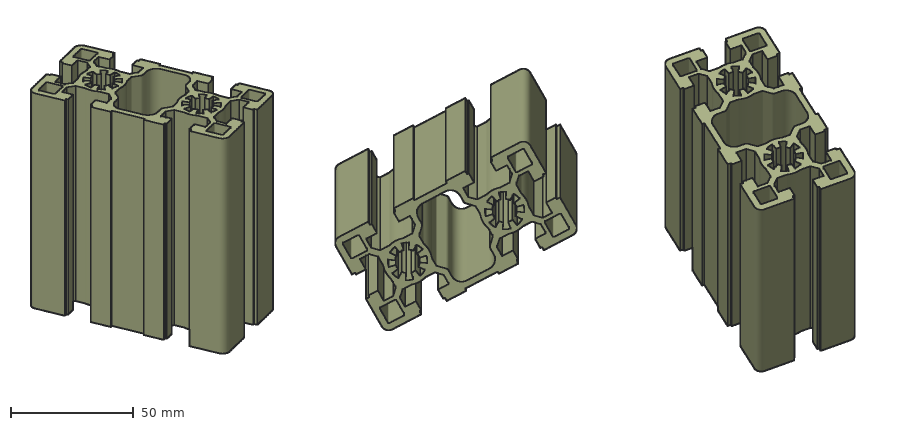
import cadquery as cq
import math

MODULE = 45.0
WIDTH = 2 * MODULE
LENGTH = 100.0
HALF = MODULE / 2
CORE_CENTERS = [(-HALF, 0), (HALF, 0)]
CORNER_RADIUS = 3.2

SLOT_MOUTH_HALF = 5.9
SLOT_MOUTH_DEPTH = 1.5
SLOT_LIP_HALF = 5.1
SLOT_LIP_DEPTH = 6.0
SLOT_CAVITY_HALF = 10.15
SLOT_FLOOR_HALF = 7.5
SLOT_FLOOR_DEPTH = 13.0
SLOT_SHOULDER_DEPTH = SLOT_FLOOR_DEPTH - (SLOT_CAVITY_HALF - SLOT_FLOOR_HALF)

CORE_RADIUS = 10.0
BORE_RADIUS = 8.0
TOOTH_TIP_RADIUS = 5.0
TOOTH_COUNT = 8
TOOTH_ANGLE = 360 / TOOTH_COUNT
TOOTH_TIP_HALF = 1.0
TOOTH_ROOT_HALF = 1.55

HOLLOW_SIZE = 7.6
HOLLOW_WALL = 3.0
HOLLOW_RADIUS = 0.5

CAVITY_HALF_HEIGHT = 18.7
CAVITY_NECK_HALF_WIDTH = 9.7
CAVITY_WAIST_HALF_WIDTH = 13.1
CAVITY_WAIST_HALF_HEIGHT = 7.3
CAVITY_SHOULDER_HEIGHT = CAVITY_WAIST_HALF_HEIGHT + CAVITY_WAIST_HALF_WIDTH - CAVITY_NECK_HALF_WIDTH
CAVITY_RADIUS = 4.5
CAVITY_SHOULDER_RADIUS = 2.0
CAVITY_WAIST_RADIUS = 0.7

RECESS_WIDTH = 15.0
RECESS_DEPTH = 1.0


def prism(points):
    return cq.Workplane("XY").polyline(points).close().extrude(LENGTH)


def cylinder(radius, centers):
    return cq.Workplane("XY").pushPoints(centers).circle(radius).extrude(LENGTH)


def body():
    block = cq.Workplane("XY").rect(WIDTH, MODULE).extrude(LENGTH)
    return block.edges("|Z").fillet(CORNER_RADIUS)


def slot():
    """T-slot cut into the +Y face of a module centred on the origin."""
    right_side = [
        (SLOT_MOUTH_HALF, HALF),
        (SLOT_MOUTH_HALF, HALF - SLOT_MOUTH_DEPTH),
        (SLOT_LIP_HALF, HALF - SLOT_MOUTH_DEPTH),
        (SLOT_LIP_HALF, HALF - SLOT_LIP_DEPTH),
        (SLOT_CAVITY_HALF, HALF - SLOT_LIP_DEPTH),
        (SLOT_CAVITY_HALF, HALF - SLOT_SHOULDER_DEPTH),
        (SLOT_FLOOR_HALF, HALF - SLOT_FLOOR_DEPTH),
    ]
    left_side = [(-x, y) for x, y in reversed(right_side)]
    return prism(right_side + left_side)


def cut_slots(part):
    for center_x, center_y in CORE_CENTERS:
        end_angle = 90 if center_x < 0 else -90
        for angle in (0, 180, end_angle):
            turned = slot().rotate((0, 0, 0), (0, 0, 1), angle)
            part = part.cut(turned.translate((center_x, center_y, 0)))
    return part


def cavity():
    """Middle cavity, narrow at the top and bottom and widening to a waist between the cores."""
    upper_right = [
        (CAVITY_WAIST_HALF_WIDTH, CAVITY_WAIST_HALF_HEIGHT),
        (CAVITY_NECK_HALF_WIDTH, CAVITY_SHOULDER_HEIGHT),
        (CAVITY_NECK_HALF_WIDTH, CAVITY_HALF_HEIGHT),
    ]
    upper = upper_right + [(-x, y) for x, y in reversed(upper_right)]
    lower = [(-x, -y) for x, y in upper]
    blank = prism(upper + lower)
    blank = blank.edges("|Z").edges(">Y or <Y").fillet(CAVITY_RADIUS)
    blank = blank.edges("|Z").edges(">X or <X").fillet(CAVITY_WAIST_RADIUS)
    shoulders = [
        edge
        for edge in blank.edges("|Z").vals()
        if math.isclose(abs(edge.Center().y), CAVITY_SHOULDER_HEIGHT)
    ]
    return blank.newObject(shoulders).fillet(CAVITY_SHOULDER_RADIUS)


def recesses():
    offset = HALF - RECESS_DEPTH / 2
    centers = cq.Workplane("XY").pushPoints([(0, offset), (0, -offset)])
    return centers.rect(RECESS_WIDTH, RECESS_DEPTH).extrude(LENGTH)


def corner_hollows():
    inset = HOLLOW_WALL + HOLLOW_SIZE / 2
    centers = cq.Workplane("XY").rect(WIDTH - 2 * inset, MODULE - 2 * inset, forConstruction=True).vertices()
    hollows = centers.rect(HOLLOW_SIZE, HOLLOW_SIZE).extrude(LENGTH)
    return hollows.edges("|Z").fillet(HOLLOW_RADIUS)


def toothed_bore():
    """Bore with tapered teeth left standing, centred on the origin."""
    root = (BORE_RADIUS + CORE_RADIUS) / 2
    taper = (TOOTH_ROOT_HALF - TOOTH_TIP_HALF) / (BORE_RADIUS - TOOTH_TIP_RADIUS)
    root_half = TOOTH_TIP_HALF + taper * (root - TOOTH_TIP_RADIUS)
    center_half = TOOTH_TIP_HALF - taper * TOOTH_TIP_RADIUS
    tooth = prism([(0, -center_half), (root, -root_half), (root, root_half), (0, center_half)])
    bore = cylinder(BORE_RADIUS, [(0, 0)])
    for index in range(TOOTH_COUNT):
        bore = bore.cut(tooth.rotate((0, 0, 0), (0, 0, 1), index * TOOTH_ANGLE))
    return bore.union(cylinder(TOOTH_TIP_RADIUS, [(0, 0)]))


result = cut_slots(body()).cut(cavity()).cut(recesses()).cut(corner_hollows())
result = result.union(cylinder(CORE_RADIUS, CORE_CENTERS))
for core_x, core_y in CORE_CENTERS:
    result = result.cut(toothed_bore().translate((core_x, core_y, 0)))